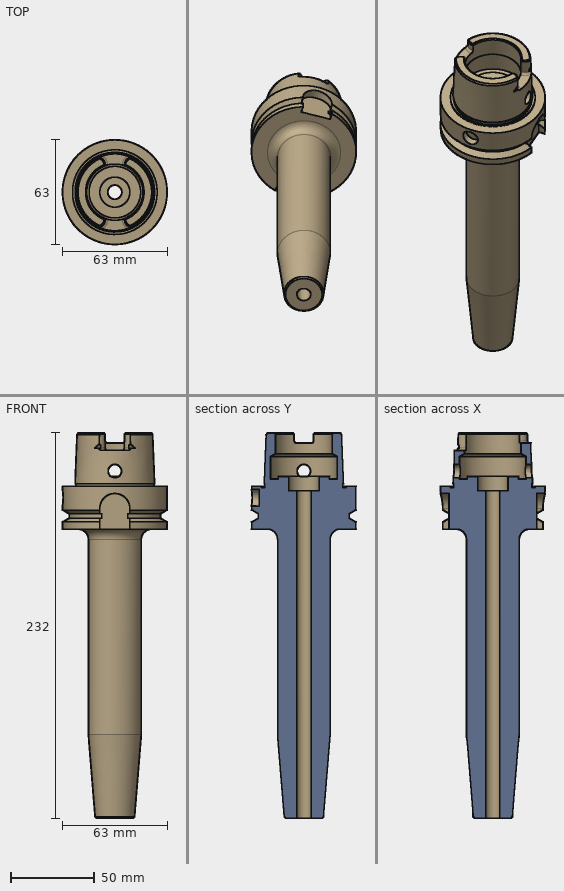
import cadquery as cq
import math

length = 232.0

tip_diameter = 24.0
tip_radius = tip_diameter / 2
tip_chamfer = 1.0
nose_taper_height = 50.5
stem_radius = 16.0
flange_root_fillet = 6.0

flange_diameter = 63.0
flange_radius = flange_diameter / 2
flange_top = length - 32.0
flange_bottom = length - 58.0
groove_floor_radius = 27.5
groove_top = length - 46.4
groove_bottom = length - 53.5
groove_flank_angle = 30
groove_flank_height = (flange_radius - groove_floor_radius) * math.tan(math.radians(groove_flank_angle))

shank_rim_diameter = 45.7
shank_rim_radius = shank_rim_diameter / 2
shank_base_diameter = 48.0
shank_base_radius = shank_base_diameter / 2
shank_rim_chamfer = 0.7
shank_rim_chamfer_height = 1.2
relief_radius = 23.7
relief_height = 1.5
face_groove_radius = 25.5
face_groove_depth = 0.7

bore_radius = 17.0
bore_rim_chamfer = 0.7
bore_straight_depth = 12.5
clamp_radius = 20.0
clamp_cone_angle = 30
clamp_cone_height = (clamp_radius - bore_radius) * math.tan(math.radians(clamp_cone_angle))
bore_depth = 27.5
boss_radius = 15.5
boss_depth = 26.2
socket_radius = 9.0
socket_depth = 34.8
coolant_radius = 4.2

slot_half_width = 5.8
slot_inner_y = 11.5
slot_corner_radius = 4.6
slot_corner_start = 16.5
shoulder_y = slot_corner_start + slot_corner_radius
shoulder_half_width = 15.0
slot_rim_chamfer = 0.7
slot_floor_fillet = 1.5
front_slot_depth = 10.5
back_slot_depth = 6.0

undercut_inner_x = 8.3
undercut_outer_x = 14.0
undercut_floor_y = 19.7
undercut_top_depth = 6.5
undercut_floor_depth = 9.3

cross_hole_radius = 4.0
cross_hole_depth = 23.0
cross_hole_reach = 16.2
keyway_half_width = 9.0
keyway_floor = 26.5
keyway_top = length - 36.5
coding_hole_radius = 4.9
coding_hole_z = length - 39.0
coding_hole_depth = 4.6


def turned_body():
    """Outer shape of the holder as one revolved profile."""
    relief_top = flange_top + relief_height
    fillet_mid = flange_root_fillet * (1 - math.sqrt(0.5))
    profile = (
        cq.Workplane("XZ")
        .lineTo(tip_radius - tip_chamfer, 0)
        .lineTo(tip_radius, tip_chamfer)
        .lineTo(stem_radius, nose_taper_height)
        .lineTo(stem_radius, flange_bottom - flange_root_fillet)
        .threePointArc(
            (stem_radius + fillet_mid, flange_bottom - fillet_mid),
            (stem_radius + flange_root_fillet, flange_bottom),
        )
        .lineTo(flange_radius, flange_bottom)
        .lineTo(flange_radius, groove_bottom)
        .lineTo(groove_floor_radius, groove_bottom + groove_flank_height)
        .lineTo(groove_floor_radius, groove_top - groove_flank_height)
        .lineTo(flange_radius, groove_top)
        .lineTo(flange_radius, flange_top)
        .lineTo(face_groove_radius, flange_top)
        .lineTo(face_groove_radius, flange_top - face_groove_depth)
        .lineTo(relief_radius, flange_top - face_groove_depth)
        .lineTo(relief_radius, relief_top)
        .lineTo(shank_base_radius, relief_top)
        .lineTo(shank_rim_radius, length - shank_rim_chamfer_height)
        .lineTo(shank_rim_radius - shank_rim_chamfer, length)
        .lineTo(0, length)
        .close()
    )
    return profile.revolve(360, (0, 0, 0), (0, 1, 0))


def hollow():
    """Undercut clamping bore, boss on its floor, socket and coolant hole through to the tip."""
    clamp_start = length - bore_straight_depth
    profile = (
        cq.Workplane("XZ")
        .lineTo(coolant_radius, 0)
        .lineTo(coolant_radius, length - socket_depth)
        .lineTo(socket_radius, length - socket_depth)
        .lineTo(socket_radius, length - boss_depth)
        .lineTo(boss_radius, length - boss_depth)
        .lineTo(boss_radius, length - bore_depth)
        .lineTo(clamp_radius, length - bore_depth)
        .lineTo(clamp_radius, clamp_start - clamp_cone_height)
        .lineTo(bore_radius, clamp_start)
        .lineTo(bore_radius, length - bore_rim_chamfer)
        .lineTo(bore_radius + bore_rim_chamfer, length)
        .lineTo(0, length)
        .close()
    )
    return profile.revolve(360, (0, 0, 0), (0, 1, 0))


def slot_outline(z):
    """Closed slot outline at height z: straight sides that turn outward into flat shoulders."""
    shoulder_x = slot_half_width + slot_corner_radius
    mid_x = shoulder_x - slot_corner_radius * math.sqrt(0.5)
    mid_y = slot_corner_start + slot_corner_radius * math.sqrt(0.5)
    return (
        cq.Workplane("XY", origin=(0, 0, z))
        .moveTo(-slot_half_width, slot_inner_y)
        .lineTo(slot_half_width, slot_inner_y)
        .lineTo(slot_half_width, slot_corner_start)
        .threePointArc((mid_x, mid_y), (shoulder_x, shoulder_y))
        .lineTo(shoulder_half_width, shoulder_y)
        .lineTo(shoulder_half_width, flange_radius)
        .lineTo(-shoulder_half_width, flange_radius)
        .lineTo(-shoulder_half_width, shoulder_y)
        .lineTo(-shoulder_x, shoulder_y)
        .threePointArc((-mid_x, mid_y), (-slot_half_width, slot_corner_start))
        .close()
    )


def drive_slot(depth):
    """Slot through the +Y wall of the shank, with a rounded foot and a chamfered rim."""
    slot = slot_outline(length - depth).extrude(depth)
    slot = slot.faces("<Z").edges("not <Y").fillet(slot_floor_fillet)
    chamfer = slot_outline(length - slot_rim_chamfer).extrude(slot_rim_chamfer, taper=-45)
    return slot.union(chamfer)


def shoulder_undercut(inner_x):
    """Wedge cut under one shoulder of the front slot, reaching toward +X from inner_x."""
    return (
        cq.Workplane("YZ", origin=(inner_x, 0, 0))
        .moveTo(-shoulder_y, length - undercut_top_depth)
        .lineTo(-undercut_floor_y, length - undercut_floor_depth)
        .lineTo(-flange_radius, length - undercut_floor_depth)
        .lineTo(-flange_radius, length - undercut_top_depth)
        .close()
        .extrude(undercut_outer_x - undercut_inner_x)
    )


def keyway():
    """Flat-floored keyway with a round top, open at the +Y side and under the flange."""
    arch_z = keyway_top - keyway_half_width
    return (
        cq.Workplane("XZ", origin=(0, keyway_floor, 0))
        .moveTo(-keyway_half_width, flange_bottom)
        .lineTo(keyway_half_width, flange_bottom)
        .lineTo(keyway_half_width, arch_z)
        .threePointArc((0, keyway_top), (-keyway_half_width, arch_z))
        .close()
        .extrude(keyway_floor - flange_radius)
    )


def turned_to_front(shape):
    """Copy of a +Y side cutter turned about Z to the -Y side."""
    return shape.rotate((0, 0, 0), (0, 0, 1), 180)


def cross_hole():
    """Round hole through the +Y wall of the shank that ends just inside the bore."""
    return (
        cq.Workplane("XZ", origin=(0, cross_hole_reach, length - cross_hole_depth))
        .circle(cross_hole_radius)
        .extrude(cross_hole_reach - flange_radius)
    )


coding_hole = (
    cq.Workplane("YZ", origin=(-flange_radius, 0, coding_hole_z))
    .circle(coding_hole_radius)
    .extrude(coding_hole_depth)
)

result = turned_body().cut(hollow())
result = result.cut(drive_slot(back_slot_depth))
result = result.cut(turned_to_front(drive_slot(front_slot_depth)))
for inner_x in (undercut_inner_x, -undercut_outer_x):
    result = result.cut(shoulder_undercut(inner_x))
result = result.cut(keyway())
result = result.cut(turned_to_front(keyway()))
result = result.cut(cross_hole())
result = result.cut(turned_to_front(cross_hole()))
result = result.cut(coding_hole)